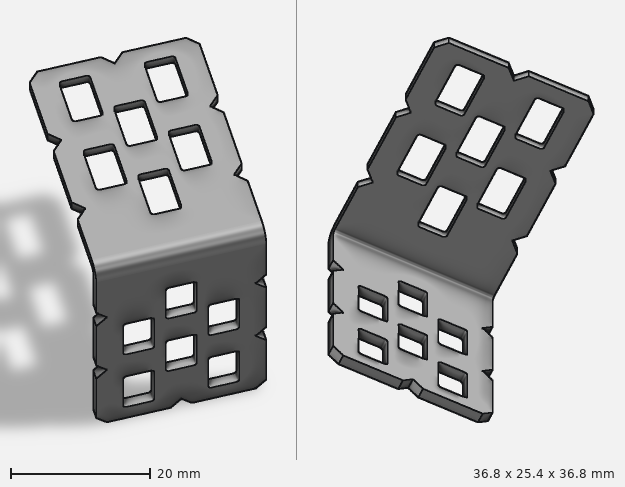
import cadquery as cq

pitch = 12.7
thickness = 1.6
leg_length = 36.83
columns = 2
inner_bend_radius = 0.8
slot_length = 7.4
slot_width = 4.6
slot_corner_radius = 0.5
notch_depth = 1.6

width = columns * pitch
half_width = width / 2
outer_bend_radius = inner_bend_radius + thickness

outer_slot_stations = [0.5 * pitch, 1.5 * pitch]
centre_slot_stations = [pitch, 2 * pitch]
side_notch_stations = [pitch, 2 * pitch]


def bent_strip():
    """L-shaped strip: one leg along -X, one along -Z, outer corner at the origin."""
    profile = (
        cq.Workplane("XZ", origin=(0, half_width, 0))
        .moveTo(-leg_length, 0)
        .lineTo(0, 0)
        .lineTo(0, -leg_length)
        .lineTo(-thickness, -leg_length)
        .lineTo(-thickness, -thickness)
        .lineTo(-leg_length, -thickness)
        .close()
        .extrude(width)
    )
    outer_corner = cq.selectors.NearestToPointSelector((0, 0, 0))
    outer_rounded = profile.edges(outer_corner).fillet(outer_bend_radius)
    inner_corner = cq.selectors.NearestToPointSelector((-thickness, 0, -thickness))
    return outer_rounded.edges(inner_corner).fillet(inner_bend_radius)


def slot_cutters():
    """Rounded rectangular slots through the horizontal leg."""
    points = [(s - leg_length, 0) for s in centre_slot_stations]
    for station in outer_slot_stations:
        for side in (-1, 1):
            points.append((station - leg_length, side * pitch / 2))
    return (
        cq.Workplane("XY", origin=(0, 0, -thickness))
        .pushPoints(points)
        .rect(slot_length, slot_width)
        .extrude(thickness)
        .edges("|Z")
        .fillet(slot_corner_radius)
    )


def notch_cutters():
    """Square prisms turned 45 degrees, centred on the edges and free corners of the horizontal leg."""
    points = [(-leg_length, 0)]
    for station in [0] + side_notch_stations:
        for side in (-1, 1):
            points.append((station - leg_length, side * half_width))
    return (
        cq.Workplane("XY", origin=(0, 0, -thickness))
        .pushPoints(points)
        .polygon(4, 2 * notch_depth)
        .extrude(thickness)
    )


def to_vertical_leg(cutters):
    """Mirror horizontal-leg cutters across the bend's diagonal plane (X and Z swap places)."""
    quarter_turn = -90
    return cutters.mirror("XY").rotate((0, 0, 0), (0, 1, 0), quarter_turn)


leg_cutters = slot_cutters().add(notch_cutters()).combine()
result = bent_strip().cut(leg_cutters).cut(to_vertical_leg(leg_cutters))